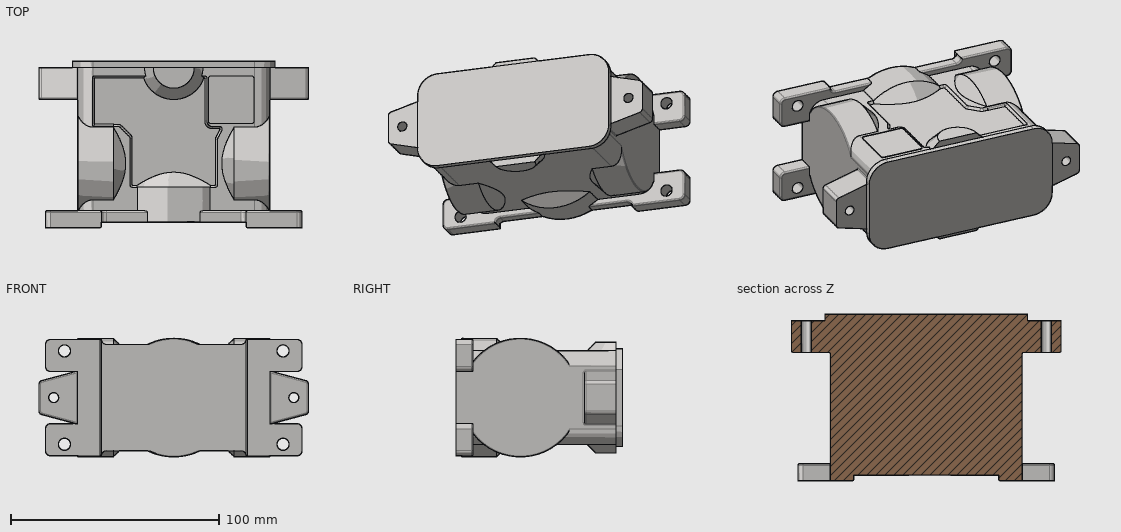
import cadquery as cq
import math


body_half_x = 46.1
body_half_z = 22.5
body_corner_radius = 7.4
body_front_y = 2.7

length_y = 80.0
flange_thickness = 3.1
flange_half_x = 48.7
flange_half_z = 23.6
flange_corner_radius = 10.0
flange_y = length_y - flange_thickness

plate_thickness = 8.3
foot_half_x = 61.6
foot_half_z = 28.0
foot_inner_x = 34.7
foot_corner_radius = 2.6
foot_notch_half_z = 12.4
strip_half_z = 25.5
strip_blend_radius = foot_half_z - strip_half_z
foot_inner_chamfer = 0.6
plate_edge_radius = 0.8
foot_hole_diameter = 5.7
foot_hole_x = 52.5
foot_hole_z = 22.4

boss_radius = 28.5
boss_end_radius = 0.4
side_boss_y = 31.0
side_boss_inner_x = 29.0
front_boss_inner_y = 19.5

ear_half_x = 64.8
ear_root_half_z = 12.8
ear_depth = 15.3
ear_taper = math.radians(15)
ear_tip_radius = 1.8
ear_edge_radius = 0.8
ear_embed = 2.6
ear_root_radius = 0.5
ear_hole_diameter = 4.7
ear_hole_x = 57.6

stud_top_z = 26.7
stud_top_radius = 9.8

recess_depth = 1.3
recess_wall_run = 1.0
recess_corner_radius = 1.3
recess_label_radius = 2.6

label_depth = 0.3
label_size_x = 21.9
label_size_y = 22.9
label_center_x = 27.6
label_center_y = 61.5
label_corner_radius = 1.3


def rounded_block(half_x, half_z, corner_radius, start_y, end_y):
    """Block along Y with its four long edges rounded."""
    block = cq.Workplane("XZ", origin=(0, start_y, 0)).rect(2 * half_x, 2 * half_z).extrude(start_y - end_y)
    return block.edges("|Y").fillet(corner_radius)


def cone_ended_boss(start, direction, length):
    """Cylinder from start along direction, then a 45 degree cone down to its tip."""
    origin = cq.Vector(*start)
    axis = cq.Vector(*direction)
    cylinder = cq.Workplane(cq.Solid.makeCylinder(boss_radius, length, origin, axis))
    outer_end = cq.selectors.DirectionMinMaxSelector(axis, False)
    cylinder = cylinder.faces(outer_end).edges().fillet(boss_end_radius)
    cone = cq.Solid.makeCone(boss_radius, 0, boss_radius, origin + axis * length, axis)
    return cylinder.union(cone)


def make_recess():
    """Cutter for the upper recess; its walls lean outward towards the top."""
    left_x = -39.1
    top_y = 73.0
    shoulder_y = 48.7
    bottom_y = 19.4
    lower_half_x = 21.0
    slant = 5.2
    nose_x = 24.1
    nose_bottom_y = 42.7
    label_corner = (15.9, shoulder_y)
    outline = [
        (left_x, top_y),
        (label_corner[0], top_y),
        label_corner,
        (nose_x, shoulder_y),
        (lower_half_x, nose_bottom_y),
        (lower_half_x, bottom_y),
        (-lower_half_x, bottom_y),
        (-lower_half_x, shoulder_y - slant),
        (-lower_half_x - slant, shoulder_y),
        (left_x, shoulder_y),
    ]
    column = cq.Workplane("XY", origin=(0, 0, body_half_z)).polyline(outline).close().extrude(-recess_depth)
    at_label = cq.selectors.NearestToPointSelector((*label_corner, body_half_z - recess_depth / 2))
    plain_corners = cq.selectors.SubtractSelector(cq.selectors.StringSyntaxSelector("|Z"), at_label)
    column = column.edges(plain_corners).fillet(recess_corner_radius)
    column = column.edges(at_label).fillet(recess_label_radius)
    wall_angle = math.degrees(math.atan2(recess_wall_run, recess_depth))
    return column.faces(">Z").wires().toPending().extrude(-recess_depth, combine=False, taper=wall_angle)


def make_mounting_plate():
    """Feet and middle strip, with a rounded edge on the side facing the flange."""
    quarter = (
        cq.Workplane("XZ")
        .lineTo(body_half_x, 0)
        .lineTo(body_half_x, foot_notch_half_z)
        .lineTo(foot_half_x, foot_notch_half_z)
        .lineTo(foot_half_x, foot_half_z)
        .lineTo(foot_inner_x, foot_half_z)
        .radiusArc((foot_inner_x - strip_blend_radius, strip_half_z), strip_blend_radius)
        .lineTo(0, strip_half_z)
        .close()
        .extrude(-plate_thickness)
    )
    half = quarter.union(quarter.mirror("XY"))
    plate = half.union(half.mirror("YZ")).clean()
    plate = plate.edges("|Y").edges(">X or <X").fillet(foot_corner_radius)
    return plate.faces(">Y").edges().fillet(plate_edge_radius)


def make_strip_gap():
    """Cutter that sets the strip between the feet back from the mounting face."""
    return (
        cq.Workplane("XY", origin=(0, 0, -foot_half_z))
        .moveTo(-foot_inner_x - foot_inner_chamfer, 0)
        .lineTo(-foot_inner_x, foot_inner_chamfer)
        .lineTo(-foot_inner_x, body_front_y)
        .lineTo(foot_inner_x, body_front_y)
        .lineTo(foot_inner_x, foot_inner_chamfer)
        .lineTo(foot_inner_x + foot_inner_chamfer, 0)
        .close()
        .extrude(2 * foot_half_z)
    )


def make_ear():
    """Tapered mounting ear on the +X side, under the flange."""
    root_x = body_half_x - ear_embed
    root_half_z = ear_root_half_z + ear_embed * math.tan(ear_taper)
    tip_half_z = ear_root_half_z - (ear_half_x - body_half_x) * math.tan(ear_taper)
    ear = (
        cq.Workplane("XZ", origin=(0, flange_y, 0))
        .polyline([
            (root_x, root_half_z),
            (ear_half_x, tip_half_z),
            (ear_half_x, -tip_half_z),
            (root_x, -root_half_z),
        ])
        .close()
        .extrude(ear_depth)
    )
    ear = ear.edges("|Y and >X").fillet(ear_tip_radius)
    return ear.faces("<Y").edges().fillet(ear_edge_radius)


def make_stud():
    """Conical boss above the upper face, its axis in the front plane of the flange."""
    base_radius = stud_top_radius + stud_top_z
    base_center = cq.Vector(0, flange_y, 0)
    cone = cq.Workplane(cq.Solid.makeCone(base_radius, stud_top_radius, stud_top_z, base_center))
    kept_region = (
        cq.Workplane("XY", origin=(0, flange_y - base_radius, body_half_z / 2))
        .box(2 * base_radius, base_radius, stud_top_z, centered=(True, False, False))
    )
    return cone.intersect(kept_region)


def make_holes(diameter, positions):
    """Cutter for holes along Y through the whole length of the part."""
    return cq.Workplane("XZ").pushPoints(positions).circle(diameter / 2).extrude(-length_y)


def box_around(low_corner, high_corner):
    """Selector for edges whose centers lie in the given box, widened slightly on every side."""
    margin = cq.Vector(0.1, 0.1, 0.1)
    low = cq.Vector(*low_corner) - margin
    high = cq.Vector(*high_corner) + margin
    return cq.selectors.BoxSelector(low.toTuple(), high.toTuple())


result = rounded_block(body_half_x, body_half_z, body_corner_radius, body_front_y, flange_y)
label_panel = (
    cq.Workplane("XY", origin=(label_center_x, label_center_y, body_half_z))
    .rect(label_size_x, label_size_y)
    .extrude(-label_depth)
    .edges("|Z")
    .fillet(label_corner_radius)
)
result = result.cut(make_recess()).cut(label_panel)

result = result.union(rounded_block(flange_half_x, flange_half_z, flange_corner_radius, flange_y, length_y))
result = result.union(make_mounting_plate())

result = result.union(cone_ended_boss((0, body_front_y, 0), (0, 1, 0), front_boss_inner_y - body_front_y))
for side in (-1, 1):
    start = (side * body_half_x, side_boss_y, 0)
    result = result.union(cone_ended_boss(start, (-side, 0, 0), body_half_x - side_boss_inner_x))
result = result.cut(make_strip_gap())

stud = make_stud()
result = result.union(stud).union(stud.mirror("XY"))
ear = make_ear()
result = result.union(ear).union(ear.mirror("YZ"))
for side in (-1, 1):
    root_corner = (side * body_half_x, flange_y - ear_depth, -ear_root_half_z)
    opposite_corner = (side * body_half_x, flange_y, ear_root_half_z)
    result = result.edges(box_around(root_corner, opposite_corner)).fillet(ear_root_radius)

foot_hole_positions = [(x, z) for x in (-foot_hole_x, foot_hole_x) for z in (-foot_hole_z, foot_hole_z)]
result = result.cut(make_holes(foot_hole_diameter, foot_hole_positions))
result = result.cut(make_holes(ear_hole_diameter, [(-ear_hole_x, 0), (ear_hole_x, 0)]))